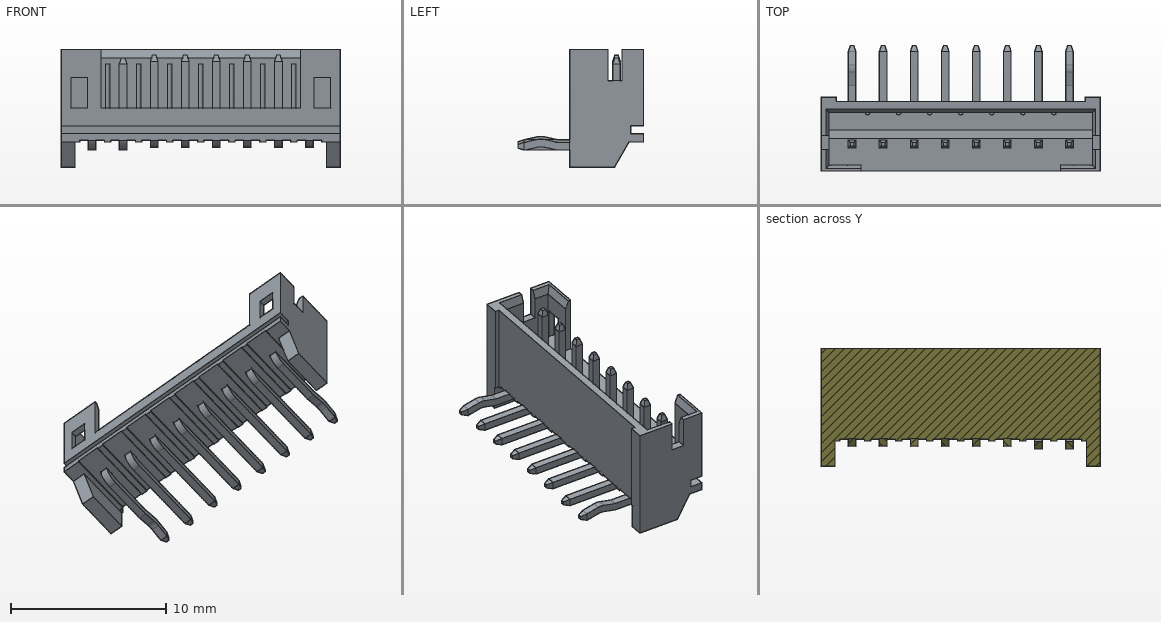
import cadquery as cq
import math

length = 18.0
height = 7.6
depth = 4.77
rear_recess = 0.27
post_width = 0.99
foot_width = 0.9
pad_level = 1.62
foot_slope_top_y = 0.94
foot_slope_bottom_y = 1.87

groove_bottom = 2.16
groove_top = 2.66
groove_depth = 0.83

cavity_half_length = 8.48
cavity_front = 0.4
cavity_back = 3.78
floor_level = 3.82
lead_in_width = 0.22
lead_in_depth = 0.54
trough_level = 2.61
ramp_front = 2.1
ramp_back = 2.65

front_opening_length = 12.85
side_slot_front = 1.4
side_slot_back = 2.29
side_slot_bottom = 5.58
window_width = 1.06
window_height = 1.98
window_centre_x = 7.83

rib_radius = 0.15
rib_top = 6.66

pin_count = 8
pin_span = 14.0
pin_size = 0.5
pin_y = 1.75
pin_top = 7.22
tail_top = 1.78
tail_end = 8.1
tip_length = 0.4
tip_size = 0.23
bend_inner_radius = 0.5
low_pin_drop = 0.18
low_pins = (0, 1)
kinked_pins = (0, pin_count - 1)
kink_start = 5.53
kink_rise = 0.22
kink_crown_length = 0.43
channel_width = 1.58
channel_top = 1.73

tail_shoulder = tail_end - tip_length
pitch = pin_span / (pin_count - 1)
pin_places = [(i - (pin_count - 1) / 2) * pitch for i in range(pin_count)]
rib_places = [x + pitch / 2 for x in pin_places[:-1]]


def block(x0, x1, y0, y1, z0, z1):
    """A box given by its limits along each axis."""
    return cq.Workplane("XY").box(x1 - x0, y1 - y0, z1 - z0, centered=False).translate((x0, y0, z0))


def mid_extrude(profile, width):
    """Extrude a closed YZ profile along X, centred on x = 0."""
    return profile.extrude(width / 2, both=True)


def make_body():
    """Full-length block with the sloped feet, the front groove and the rear corner posts."""
    body = mid_extrude(
        cq.Workplane("YZ").polyline([
            (depth, 0),
            (foot_slope_bottom_y, 0),
            (foot_slope_top_y, pad_level),
            (0, pad_level),
            (0, groove_bottom),
            (groove_depth, groove_bottom),
            (groove_depth, groove_top),
            (0, groove_top),
            (0, height),
            (depth, height),
        ]).close(),
        length,
    )
    foot_inside = length / 2 - foot_width
    post_inside = length / 2 - post_width
    body = body.cut(block(-foot_inside, foot_inside, 0, depth, 0, pad_level))
    return body.cut(block(-post_inside, post_inside, depth - rear_recess, depth, 0, height))


def make_cavity():
    """Cavity with a ramp down to the rear trough and a sloped lead-in around the rim."""
    cavity = mid_extrude(
        cq.Workplane("YZ").polyline([
            (cavity_front, height),
            (cavity_front, floor_level),
            (ramp_front, floor_level),
            (ramp_back, trough_level),
            (cavity_back, trough_level),
            (cavity_back, height),
        ]).close(),
        2 * cavity_half_length,
    )
    cavity_width = cavity_back - cavity_front
    lead_in = (
        cq.Workplane("XY", origin=(0, (cavity_front + cavity_back) / 2, height - lead_in_depth))
        .rect(2 * cavity_half_length, cavity_width)
        .workplane(offset=lead_in_depth)
        .rect(2 * (cavity_half_length + lead_in_width), cavity_width + 2 * lead_in_width)
        .loft()
    )
    return cavity.union(lead_in)


def make_ribs():
    """Half-round ribs on the rear wall, midway between neighbouring pins."""
    return (
        cq.Workplane("XY", origin=(0, cavity_back, trough_level))
        .pushPoints([(x, 0) for x in rib_places])
        .circle(rib_radius)
        .extrude(rib_top - trough_level)
    )


def make_housing(pins):
    housing = make_body().cut(make_cavity()).union(make_ribs())

    half_opening = front_opening_length / 2
    housing = housing.cut(block(-half_opening, half_opening, 0, cavity_front, floor_level, height))
    housing = housing.cut(
        block(-length / 2, length / 2, side_slot_front, side_slot_back, side_slot_bottom, height)
    )

    for x in (-window_centre_x, window_centre_x):
        x0 = x - window_width / 2
        window_top = floor_level + window_height
        housing = housing.cut(block(x0, x0 + window_width, 0, cavity_front, floor_level, window_top))

    for x in pin_places:
        x0 = x - channel_width / 2
        housing = housing.cut(block(x0, x0 + channel_width, 0, depth, pad_level, channel_top))
    for pin in pins:
        housing = housing.cut(pin)
    return housing


def tapered_tip(base_plane):
    """Square tip on the given plane, narrowing along the plane's normal."""
    return (
        cq.Workplane(base_plane)
        .rect(pin_size, pin_size)
        .workplane(offset=tip_length)
        .rect(tip_size, tip_size)
        .loft()
    )


def kinked_edge(profile, level, toward_tip):
    """Add one long edge of a kinked tail: two straight flanks joined by an arc at the crown."""
    crown_y = (kink_start + tail_shoulder) / 2
    half_crown = kink_crown_length / 2
    slope = kink_rise / (crown_y - kink_start - half_crown / 2)
    flank_rise = slope * (crown_y - half_crown - kink_start)
    edge = [
        (kink_start, level),
        (crown_y - half_crown, level + flank_rise),
        (crown_y, level + kink_rise),
        (crown_y + half_crown, level + flank_rise),
        (tail_shoulder, level),
    ]
    if not toward_tip:
        edge.reverse()
    first, crown_in, crown, crown_out, last = edge
    return profile.lineTo(*first).lineTo(*crown_in).threePointArc(crown, crown_out).lineTo(*last)


def make_pin(kinked):
    """Square pin at x = 0: upright, bent backwards under the housing, both ends tapered."""
    half = pin_size / 2
    front = pin_y - half
    back = pin_y + half
    tail_bottom = tail_top - pin_size
    upright_shoulder = pin_top - tip_length
    bend_outer_radius = bend_inner_radius + pin_size
    bend_y = back + bend_inner_radius
    bend_z = tail_top + bend_inner_radius
    diagonal = math.sqrt(0.5)

    profile = (
        cq.Workplane("YZ")
        .moveTo(back, upright_shoulder)
        .lineTo(front, upright_shoulder)
        .lineTo(front, bend_z)
        .threePointArc(
            (bend_y - bend_outer_radius * diagonal, bend_z - bend_outer_radius * diagonal),
            (bend_y, tail_bottom),
        )
    )
    if kinked:
        profile = kinked_edge(profile, tail_bottom, True)
        profile = kinked_edge(profile, tail_top, False)
    else:
        profile = profile.lineTo(tail_shoulder, tail_bottom).lineTo(tail_shoulder, tail_top)
    profile = (
        profile.lineTo(bend_y, tail_top)
        .threePointArc(
            (bend_y - bend_inner_radius * diagonal, bend_z - bend_inner_radius * diagonal),
            (back, bend_z),
        )
        .close()
    )

    upper_tip = tapered_tip(cq.Plane((0, pin_y, upright_shoulder), (1, 0, 0), (0, 0, 1)))
    tail_tip = tapered_tip(cq.Plane((0, tail_shoulder, tail_top - half), (1, 0, 0), (0, 1, 0)))
    return mid_extrude(profile, pin_size).union(upper_tip).union(tail_tip)


pins = []
for index, pin_x in enumerate(pin_places):
    drop = low_pin_drop if index in low_pins else 0
    pins.append(make_pin(index in kinked_pins).translate((pin_x, 0, -drop)))

housing = make_housing(pins)

result = cq.Compound.makeCompound([housing.solids().val(), *[pin.solids().val() for pin in pins]])